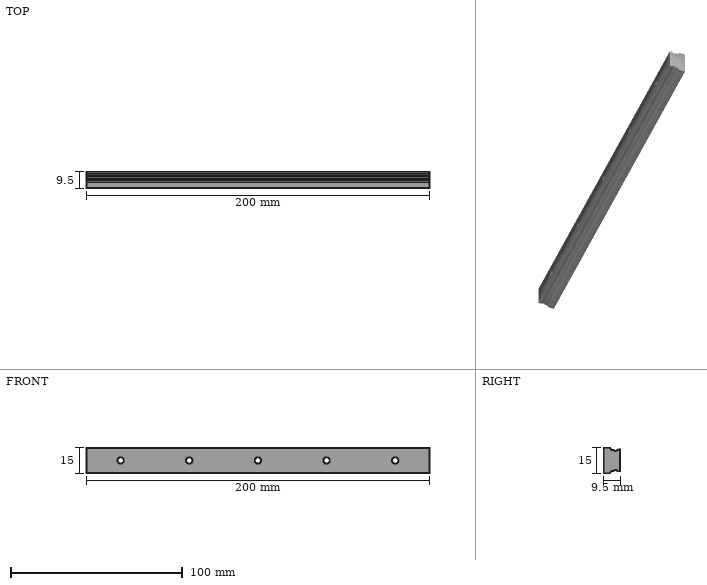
import cadquery as cq

length = 200.0
depth = 9.5
height = 15.0

flange_half = height / 2
head_half = 6.5
shelf_half = 6.2
groove_half = 5.5

flange_end = 3.5
shelf_start = 4.5
shelf_end = 5.5
groove_start = 6.8
groove_end = 7.2
head_start = 8.5
edge_chamfer = 0.5

hole_count = 5
hole_pitch = length / hole_count
hole_diameter = 3.5


def make_rail():
    """Extrude the symmetric rail section along the full length."""
    upper_half = [
        (0, flange_half - edge_chamfer),
        (edge_chamfer, flange_half),
        (flange_end, flange_half),
        (shelf_start, shelf_half),
        (shelf_end, shelf_half),
        (groove_start, groove_half),
        (groove_end, groove_half),
        (head_start, head_half),
        (depth, head_half),
    ]
    lower_half = [(y, -z) for y, z in reversed(upper_half)]
    section = cq.Workplane("YZ", origin=(-length / 2, -depth / 2, 0))
    return section.polyline(upper_half + lower_half).close().extrude(length)


def make_holes():
    """Make the evenly spaced hole cylinders along the middle of the rail."""
    return (
        cq.Workplane("XZ", origin=(0, depth / 2, 0))
        .rarray(hole_pitch, hole_pitch, hole_count, 1)
        .circle(hole_diameter / 2)
        .extrude(depth)
    )


result = make_rail().cut(make_holes())